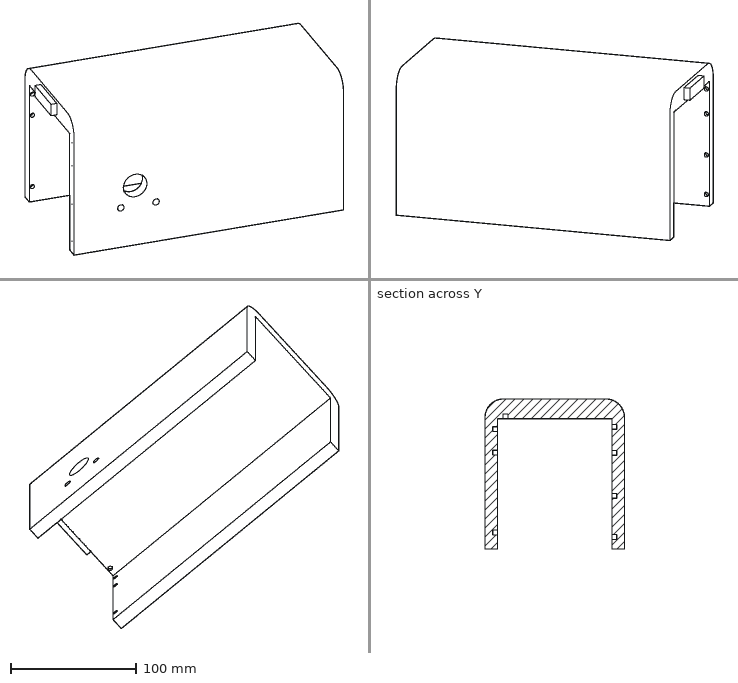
import cadquery as cq

overall_length = 235.0
plate_thickness = 5.0
length = overall_length - plate_thickness
width = 111.6
height = 120.0
wall_thickness = 10.0
roof_thickness = 16.0
corner_radius = 15.0

inner_width = width - 2 * wall_thickness
inner_height = height - roof_thickness
inner_face_x = inner_width / 2

plate_left = -19.5
plate_right = 16.7
plate_bottom = 107.2
plate_top = 117.3

pin_diameter = 3.5
pin_depth = 3.8
pin_setback = 2.5
right_pin_heights = (9.6, 42.5, 76.8, 97.5)
left_pin_heights = (13.5, 77.0, 95.9)
roof_pin_x = -39.5

shaft_diameter = 20.0
shaft_centre = (52.2, 53.0)
screw_diameter = 5.5
screw_height = 35.2
screw_setbacks = (40.0, 70.0)


def channel():
    """U-shaped body with rounded outer top corners."""
    outer = cq.Workplane("XY").box(width, length, height, centered=(True, False, False))
    outer = outer.edges("|Y and >Z").fillet(corner_radius)
    inner = cq.Workplane("XY").box(inner_width, length, inner_height, centered=(True, False, False))
    return outer.cut(inner)


def name_plate():
    """Flat plate standing proud of the front end face."""
    return cq.Workplane("XY").box(
        plate_right - plate_left, plate_thickness, plate_top - plate_bottom, centered=False
    ).translate((plate_left, -plate_thickness, plate_bottom))


def drill(start, direction, diameter, depth):
    """Cylinder that starts at a point on a face and runs into the material."""
    return cq.Workplane(
        cq.Solid.makeCylinder(diameter / 2, depth, cq.Vector(*start), cq.Vector(*direction))
    )


result = channel().union(name_plate())

for side, pin_heights in ((1, right_pin_heights), (-1, left_pin_heights)):
    for pin_height in pin_heights:
        pin_start = (side * inner_face_x, pin_setback, pin_height)
        result = result.cut(drill(pin_start, (side, 0, 0), pin_diameter, pin_depth))

roof_pin_start = (roof_pin_x, pin_setback, inner_height)
result = result.cut(drill(roof_pin_start, (0, 0, 1), pin_diameter, pin_depth))

shaft_start = (inner_face_x, *shaft_centre)
result = result.cut(drill(shaft_start, (1, 0, 0), shaft_diameter, wall_thickness))

for screw_setback in screw_setbacks:
    screw_start = (inner_face_x, screw_setback, screw_height)
    result = result.cut(drill(screw_start, (1, 0, 0), screw_diameter, wall_thickness))